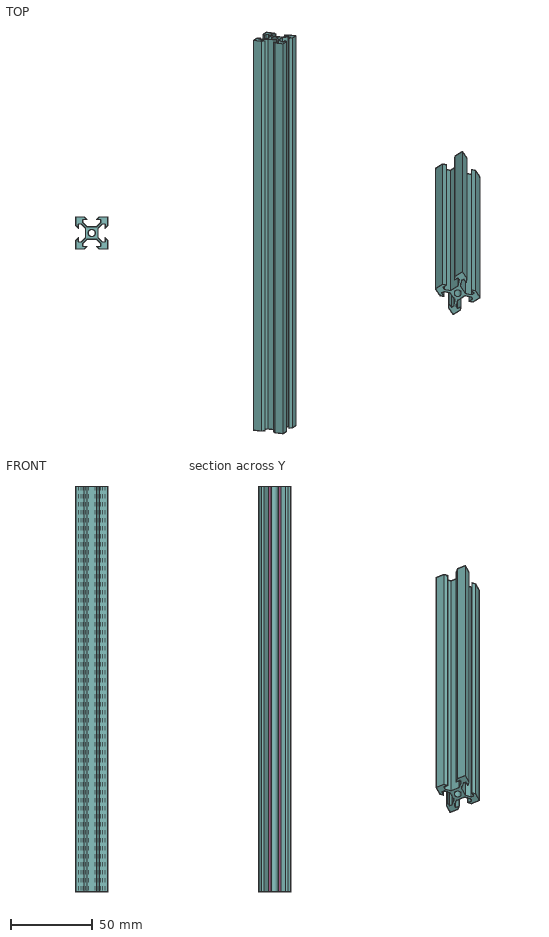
import cadquery as cq
import math

length = 250.0
side = 20.0
half_side = side / 2

mouth_width = 9.2
throat_width = 5.8
lip_thickness = 1.8
cavity_width = 11.0

core_width = 7.8
web_thickness = 1.5
bore_diameter = 4.2


def slot_outline():
    """Half outline of the slot in the +Y side, from the mouth to the core."""
    web_offset = web_thickness / math.sqrt(2)
    throat_depth = (mouth_width - throat_width) / 2
    cavity_top = half_side - lip_thickness
    half_cavity = cavity_width / 2
    half_core = core_width / 2
    return [
        (mouth_width / 2, half_side),
        (throat_width / 2, half_side - throat_depth),
        (throat_width / 2, cavity_top),
        (half_cavity, cavity_top),
        (half_cavity, half_cavity + web_offset),
        (half_core - web_offset, half_core),
    ]


def slot_cutter():
    right_half = slot_outline()
    left_half = [(-x, y) for x, y in reversed(right_half)]
    return cq.Workplane("XY").polyline(right_half + left_half).close().extrude(length)


result = cq.Workplane("XY").rect(side, side).extrude(length)

for quarter_turn in range(4):
    slot = slot_cutter().rotate((0, 0, 0), (0, 0, 1), 90 * quarter_turn)
    result = result.cut(slot)

bore = cq.Workplane("XY").circle(bore_diameter / 2).extrude(length)
result = result.cut(bore)